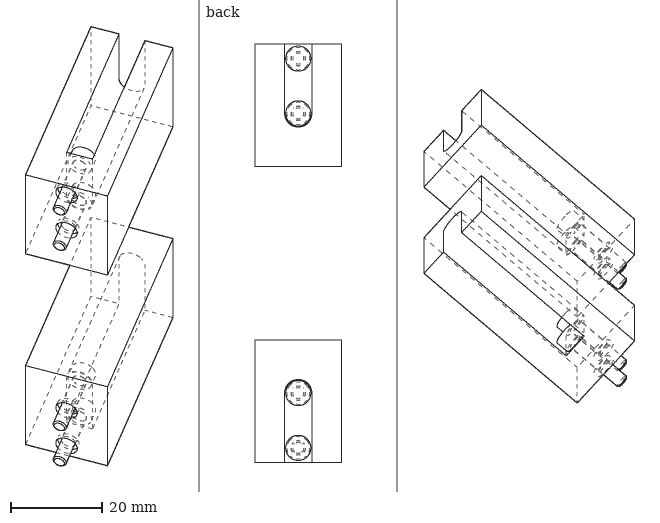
import cadquery as cq

BLOCK_WIDTH = 19.0
BLOCK_LENGTH = 45.0
BLOCK_HEIGHT = 27.0
OVERALL_HEIGHT = 92.0

OUTER_SCREW_INSET = 3.2
SCREW_SPACING = 12.05
SCREW_INSETS = (OUTER_SCREW_INSET, OUTER_SCREW_INSET + SCREW_SPACING)

SHANK_DIAMETER = 3.0
HEAD_DIAMETER = 5.5
HEAD_LENGTH = 3.0
HEAD_EDGE_RADIUS = 0.3
TIP_CHAMFER = 0.32
TIP_PROTRUSION = 5.0

SLOT_WIDTH = 6.0
FRONT_WALL = 9.0
CLEARANCE_DIAMETER = 3.2
COUNTERBORE_DIAMETER = 5.0
COUNTERBORE_DEPTH = 1.3

TOP_FACE = OVERALL_HEIGHT / 2
MIRROR_PLANE = "XY"


def rod_along_y(diameter, y_start, length, z):
    """Cylinder on the block centre line that runs from y_start toward +Y."""
    axis_start = cq.Vector(0, y_start, z)
    return cq.Workplane(cq.Solid.makeCylinder(diameter / 2, length, axis_start, cq.Vector(0, 1, 0)))


def make_slot():
    """Slot with a round floor, open at the top face and at the rear face."""
    floor_axis = TOP_FACE - SCREW_INSETS[-1]
    slot_length = BLOCK_LENGTH - FRONT_WALL
    side_walls = (
        cq.Workplane()
        .box(SLOT_WIDTH, slot_length, SCREW_INSETS[-1], centered=(True, False, False))
        .translate((0, FRONT_WALL, floor_axis))
    )
    return side_walls.union(rod_along_y(SLOT_WIDTH, FRONT_WALL, slot_length, floor_axis))


def make_block():
    """Upper block, front face at Y = 0, slot open toward +Z."""
    block = (
        cq.Workplane()
        .box(BLOCK_WIDTH, BLOCK_LENGTH, BLOCK_HEIGHT, centered=(True, False, False))
        .translate((0, 0, TOP_FACE - BLOCK_HEIGHT))
        .cut(make_slot())
    )
    for inset in SCREW_INSETS:
        z = TOP_FACE - inset
        block = block.cut(rod_along_y(CLEARANCE_DIAMETER, 0, FRONT_WALL, z))
        block = block.cut(rod_along_y(COUNTERBORE_DIAMETER, 0, COUNTERBORE_DEPTH, z))
    return block


def make_screw(z):
    """Cap screw with its head seated on the slot's front wall and its tip ahead of the block."""
    shank_length = TIP_PROTRUSION + FRONT_WALL
    shank = rod_along_y(SHANK_DIAMETER, -TIP_PROTRUSION, shank_length, z).faces("<Y").chamfer(TIP_CHAMFER)
    head = rod_along_y(HEAD_DIAMETER, FRONT_WALL, HEAD_LENGTH, z).faces(">Y").edges().fillet(HEAD_EDGE_RADIUS)
    return shank.union(head)


upper_block = make_block()
lower_block = upper_block.mirror(MIRROR_PLANE)

screws = []
for inset in SCREW_INSETS:
    upper_screw = make_screw(TOP_FACE - inset)
    screws.append(upper_screw)
    screws.append(upper_screw.mirror(MIRROR_PLANE))

result = cq.Compound.makeCompound(
    [upper_block.val(), lower_block.val(), *[screw.val() for screw in screws]]
)